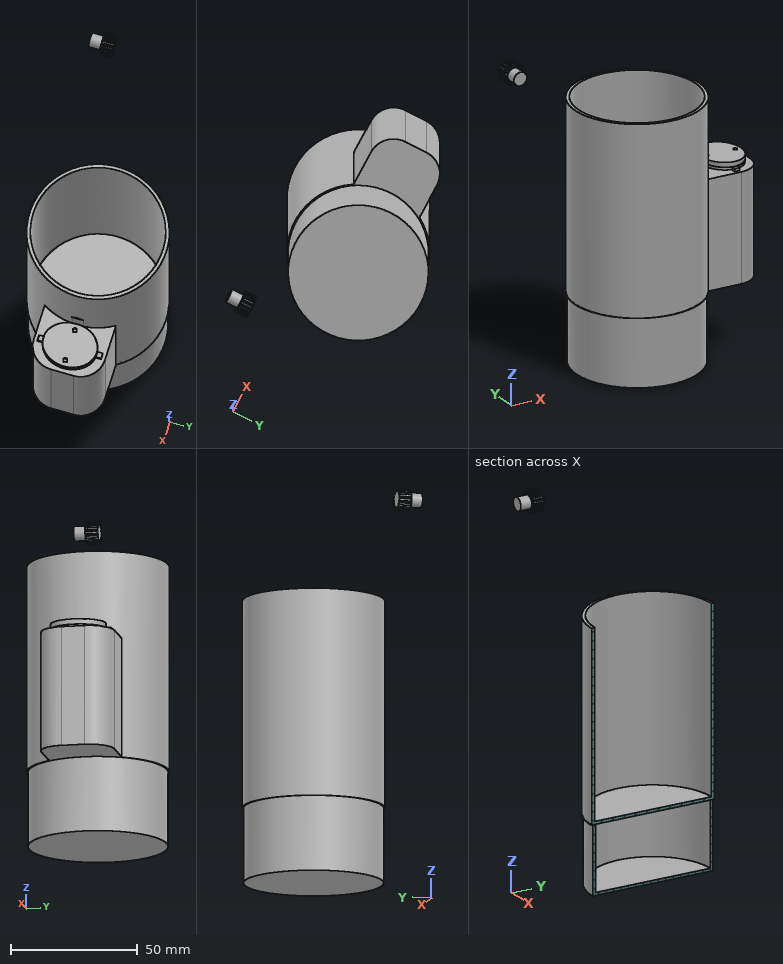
import cadquery as cq

wall = 1.5
sleeve_diameter = 56.3
sleeve_bore = sleeve_diameter - 2 * wall
sleeve_bottom = 30.0
sleeve_top = 113.0

base_diameter = 55.3
base_bore = base_diameter - 2 * wall

block_end = 48.8
block_width = 29.3
block_corner_radius = 10.0
block_top = 78.0

cap_x = 38.0
cap_half_length = 9.15
cap_half_width = 11.0
cap_base_inset = 0.15
cap_base_thickness = 1.2
cap_plate_thickness = 2.1
cap_top = block_top + cap_base_thickness + cap_plate_thickness
cap_hole_diameter = 1.7
cap_hole_depth = 1.0
cap_hole_offset = 6.5
tab_width = 2.2
tab_reach = 13.1
tab_thickness = cap_base_thickness

relief_gap = 1.0
relief_top = 85.6

knob_x = -65.89
knob_z = 142.77
knob_back = -13.1
head_length = 5.0
shaft_length = 5.0
shaft_diameter = 6.0
head_root_diameter = 7.0
head_tip_radius = 4.46
tooth_count = 16
tooth_pitch = 360 / tooth_count
tooth_width = 0.9


def make_housing():
    """Sleeve with a closed floor and the rounded side block."""
    height = sleeve_top - sleeve_bottom
    tube = cq.Workplane("XY", origin=(0, 0, sleeve_bottom)).circle(sleeve_diameter / 2).extrude(height)
    block = (
        cq.Workplane("XY", origin=(0, 0, sleeve_bottom))
        .box(block_end, block_width, block_top - sleeve_bottom, centered=(False, True, False))
        .edges("|Z and >X")
        .fillet(block_corner_radius)
    )
    relief = (
        cq.Workplane("XY", origin=(cap_x, 0, block_top))
        .ellipse(cap_half_length + relief_gap, cap_half_width + relief_gap)
        .extrude(relief_top - block_top)
    )
    bore = (
        cq.Workplane("XY", origin=(0, 0, sleeve_bottom + wall))
        .circle(sleeve_bore / 2)
        .extrude(height - wall)
    )
    return tube.union(block).cut(relief).cut(bore)


def make_base():
    """Cup with a closed bottom, its rim against the sleeve floor."""
    cup = cq.Workplane("XY").circle(base_diameter / 2).extrude(sleeve_bottom)
    bore = cq.Workplane("XY", origin=(0, 0, wall)).circle(base_bore / 2).extrude(sleeve_bottom - wall)
    return cup.cut(bore)


def make_cap():
    """Elliptical plate on a slightly smaller base with two locking tabs and two spanner holes."""
    base = (
        cq.Workplane("XY", origin=(cap_x, 0, block_top))
        .ellipse(cap_half_length - cap_base_inset, cap_half_width - cap_base_inset)
        .extrude(cap_base_thickness)
    )
    tabs = (
        cq.Workplane("XY", origin=(cap_x, 0, block_top))
        .rect(tab_width, 2 * tab_reach)
        .extrude(tab_thickness)
    )
    plate = (
        cq.Workplane("XY", origin=(cap_x, 0, block_top + cap_base_thickness))
        .ellipse(cap_half_length, cap_half_width)
        .extrude(cap_plate_thickness)
    )
    holes = (
        cq.Workplane("XY", origin=(cap_x, 0, cap_top - cap_hole_depth))
        .pushPoints([(-cap_hole_offset, 0), (cap_hole_offset, 0)])
        .circle(cap_hole_diameter / 2)
        .extrude(cap_hole_depth)
    )
    return base.union(tabs).union(plate).cut(holes)


def make_knob():
    """Toothed head with a plain shaft pointing towards -Y."""
    axis_plane = cq.Workplane("XZ", origin=(knob_x, knob_back, knob_z))
    knob = axis_plane.circle(head_root_diameter / 2).extrude(head_length)
    tooth = axis_plane.center(head_tip_radius / 2, 0).rect(head_tip_radius, tooth_width).extrude(head_length)
    axis_start = (knob_x, 0, knob_z)
    axis_end = (knob_x, 1, knob_z)
    for index in range(tooth_count):
        knob = knob.union(tooth.rotate(axis_start, axis_end, (index + 0.5) * tooth_pitch))
    shaft = axis_plane.circle(shaft_diameter / 2).extrude(head_length + shaft_length)
    return knob.union(shaft)


housing = make_housing()
base = make_base()
cap = make_cap()
knob = make_knob()

result = cq.Compound.makeCompound([housing.val(), base.val(), cap.val(), knob.val()])